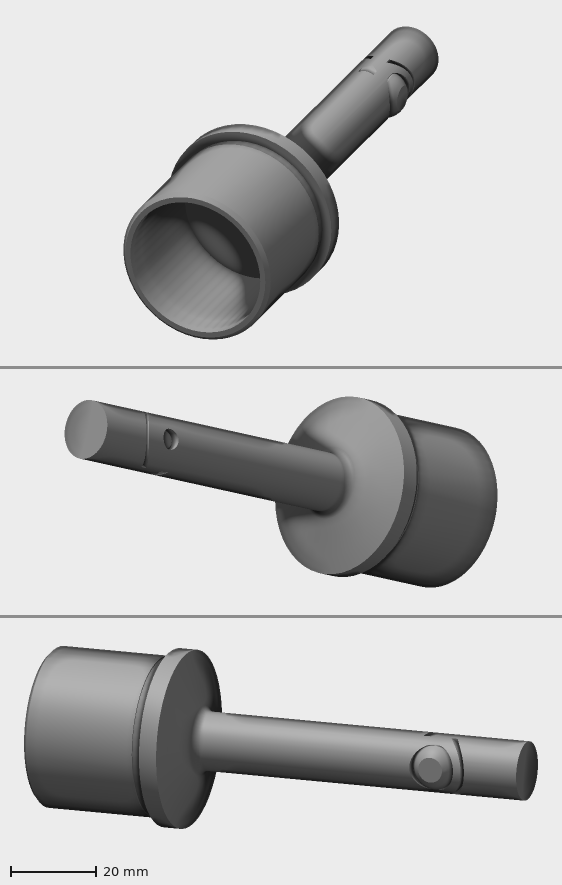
import cadquery as cq
import math

TOTAL_LENGTH = 120.0

PLUG_DIAMETER = 38.3
PLUG_CHAMFER = 1.0
BORE_DIAMETER = 33.7
RELIEF_DIAMETER = 37.7
RELIEF_START = 27.6
COLLAR_DIAMETER = 42.4
COLLAR_START = 30.2
COLLAR_END = 34.5
BORE_DEPTH = COLLAR_START
CONE_ANGLE = 15.5
CONE_FILLET = 1.9

ROD_DIAMETER = 14.0
ROD_RADIUS = ROD_DIAMETER / 2
HINGE_Y = 98.5
TONGUE_WIDTH = 4.0
TONGUE_END_RADIUS = ROD_RADIUS
SLOT_FLOOR_RADIUS = 7.8
EAR_RADIUS = 7.5
SHOULDER_RADIUS = 8.3

HEAD_DIAMETER = 10.5
HEAD_RECESS_DIAMETER = 11.0
HEAD_FACE_DIAMETER = 6.0
HEAD_SEAT_X = 4.5
HEAD_RIM_X = 4.9
HEAD_FACE_X = 7.7
SHANK_DIAMETER = 6.5
SHANK_HOLE_DIAMETER = 6.6
TIP_DIAMETER = 4.8
TIP_HOLE_DIAMETER = 5.0
TIP_CHAMFER = 0.5
TIP_X = -5.4
SHANK_END_X = -TONGUE_WIDTH / 2


def hinge_cylinder(radius, x_start, x_end):
    """Cylinder on the hinge axis between two X positions."""
    plane = cq.Plane(origin=(x_start, HINGE_Y, 0), xDir=(0, 1, 0), normal=(1, 0, 0))
    return cq.Workplane(plane).circle(radius).extrude(x_end - x_start)


def across_rod(radius):
    """Cylinder on the hinge axis that spans the whole rod."""
    return hinge_cylinder(radius, -ROD_DIAMETER, ROD_DIAMETER)


def y_box(width, y_start, y_end):
    """Box centred on the part's axis, taller than the rod, between two Y positions."""
    length = y_end - y_start
    centre = (0, (y_start + y_end) / 2, 0)
    return cq.Workplane("XY").box(width, length, 2 * ROD_DIAMETER).translate(centre)


def rod(y_start, y_end):
    """Round rod on the part's axis between two Y positions."""
    plane = cq.Plane(origin=(0, y_start, 0), xDir=(1, 0, 0), normal=(0, 1, 0))
    return cq.Workplane(plane).circle(ROD_RADIUS).extrude(y_end - y_start)


def make_socket():
    """Hollow plug with relief, collar and cone, filleted into the foot of the rod."""
    plug_radius = PLUG_DIAMETER / 2
    bore_radius = BORE_DIAMETER / 2
    relief_radius = RELIEF_DIAMETER / 2
    collar_radius = COLLAR_DIAMETER / 2
    angle = math.radians(CONE_ANGLE)

    corner_y = COLLAR_END + (collar_radius - ROD_RADIUS) * math.tan(angle)
    tangent_length = CONE_FILLET * math.tan((math.pi / 2 - angle) / 2)
    fillet_start = (
        ROD_RADIUS + tangent_length * math.cos(angle),
        corner_y - tangent_length * math.sin(angle),
    )
    fillet_end = (ROD_RADIUS, corner_y + tangent_length)

    return (
        cq.Workplane("XY")
        .moveTo(bore_radius, 0)
        .lineTo(plug_radius - PLUG_CHAMFER, 0)
        .lineTo(plug_radius, PLUG_CHAMFER)
        .lineTo(plug_radius, RELIEF_START)
        .lineTo(relief_radius, RELIEF_START)
        .lineTo(relief_radius, COLLAR_START)
        .lineTo(collar_radius, COLLAR_START)
        .lineTo(collar_radius, COLLAR_END)
        .lineTo(*fillet_start)
        .radiusArc(fillet_end, CONE_FILLET)
        .lineTo(0, fillet_end[1])
        .lineTo(0, BORE_DEPTH)
        .lineTo(bore_radius, BORE_DEPTH)
        .close()
        .revolve(360, (0, 0, 0), (0, 1, 0))
    )


def make_base():
    """Socket and lower rod, which ends in a fork with two rounded ears."""
    lower_rod = rod(COLLAR_END, HINGE_Y)
    ears = rod(HINGE_Y, TOTAL_LENGTH).intersect(across_rod(EAR_RADIUS))
    base = make_socket().union(lower_rod).union(ears)

    slot_floor = hinge_cylinder(SLOT_FLOOR_RADIUS, -TONGUE_WIDTH / 2, TONGUE_WIDTH / 2)
    base = base.cut(slot_floor).cut(y_box(TONGUE_WIDTH, HINGE_Y, TOTAL_LENGTH))

    base = base.cut(hinge_cylinder(TIP_HOLE_DIAMETER / 2, -ROD_DIAMETER, 0))
    base = base.cut(hinge_cylinder(SHANK_HOLE_DIAMETER / 2, 0, ROD_DIAMETER))
    return base.cut(hinge_cylinder(HEAD_RECESS_DIAMETER / 2, HEAD_SEAT_X, ROD_DIAMETER))


def make_swivel():
    """Upper rod with concave shoulders and a round-ended tongue in the fork."""
    half_tongue = TONGUE_WIDTH / 2
    tongue_end_y = HINGE_Y - TONGUE_END_RADIUS
    swivel = rod(tongue_end_y, TOTAL_LENGTH)

    tongue_end = hinge_cylinder(TONGUE_END_RADIUS, -half_tongue, half_tongue)
    below_hinge = y_box(2 * ROD_DIAMETER, tongue_end_y, HINGE_Y)
    swivel = swivel.cut(below_hinge.cut(tongue_end))

    swivel = swivel.cut(hinge_cylinder(SHOULDER_RADIUS, half_tongue, ROD_DIAMETER))
    swivel = swivel.cut(hinge_cylinder(SHOULDER_RADIUS, -ROD_DIAMETER, -half_tongue))
    return swivel.cut(across_rod(SHANK_HOLE_DIAMETER / 2))


def make_screw():
    """Shoulder screw on the hinge axis with a domed, flat-faced head towards +X."""
    head_radius = HEAD_DIAMETER / 2
    face_radius = HEAD_FACE_DIAMETER / 2
    shank_radius = SHANK_DIAMETER / 2
    tip_radius = TIP_DIAMETER / 2

    centre_x = (HEAD_FACE_X**2 + face_radius**2 - HEAD_RIM_X**2 - head_radius**2) / (
        2 * (HEAD_FACE_X - HEAD_RIM_X)
    )
    dome_radius = math.hypot(HEAD_RIM_X - centre_x, head_radius)

    return (
        cq.Workplane(cq.Plane(origin=(0, HINGE_Y, 0)))
        .moveTo(TIP_X, 0)
        .lineTo(TIP_X, tip_radius - TIP_CHAMFER)
        .lineTo(TIP_X + TIP_CHAMFER, tip_radius)
        .lineTo(SHANK_END_X, tip_radius)
        .lineTo(SHANK_END_X, shank_radius)
        .lineTo(HEAD_SEAT_X, shank_radius)
        .lineTo(HEAD_SEAT_X, head_radius)
        .lineTo(HEAD_RIM_X, head_radius)
        .radiusArc((HEAD_FACE_X, face_radius), dome_radius)
        .lineTo(HEAD_FACE_X, 0)
        .close()
        .revolve(360, (0, 0, 0), (1, 0, 0))
    )


base = make_base()
swivel = make_swivel()
screw = make_screw()

result = cq.Compound.makeCompound([base.val(), swivel.val(), screw.val()])